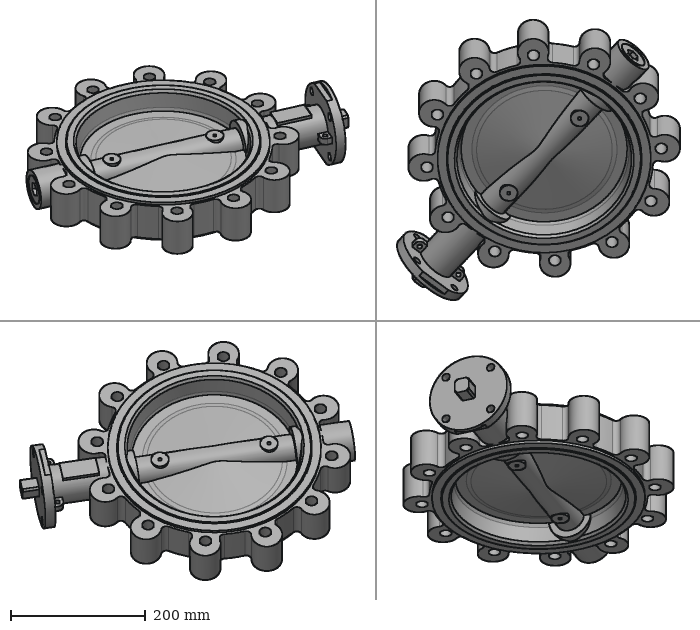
import cadquery as cq
import math


BODY_RADIUS = 162.5
BODY_HALF_HEIGHT = 29.5
LUG_COUNT = 12
LUG_CIRCLE_RADIUS = 180
LUG_RADIUS = 23.0
LUG_FILLET = 7.5
BOLT_CIRCLE_RADIUS = 175
BOLT_HOLE_DIAMETER = 17.5
FACE_DIAMETER = 317.0
FACE_HALF_HEIGHT = 34.0

GROOVE_OUTER_DIAMETER = 290.0
LINER_DIAMETER = 287.0
LINER_HALF_HEIGHT = 35.5
LIP_RADIUS = 133.5
WALL_TOP_RADIUS = 130
WALL_TOP_HEIGHT = 31.0
WALL_END_RADIUS = 126.0
WALL_END_HEIGHT = 8.0
SEAT_RADIUS = 123.5
SHAFT_PAD_DISTANCE = 119.5

DISC_HALF_RIM = 2.5
DOME_RIM_RADIUS = 101.0
DOME_OUTER_RADIUS = 108.0
DOME_RIM_HEIGHT = 4.0
DOME_HEIGHT = 20
HUB_DIAMETER = 46.0
SHAFT_PAD_RADIUS = 34.0
PIN_OFFSET = 82.5
PIN_DIAMETER = 26.5
PIN_HALF_HEIGHT = 23.5
PIN_HOLE_DIAMETER = 5
PIN_HOLE_DEPTH = 2.5

NECK_DIAMETER = 60
NECK_INNER_END = 140
BOTTOM_END = 207.5
FLANGE_DIAMETER = 125
FLANGE_BOTTOM = 251.5
FLANGE_TOP = 267.0
FLANGE_HOLE_DIAMETER = 12.0
FLANGE_BOLT_CIRCLE_DIAMETER = 102.0
FLANGE_FLAT_DISTANCE = 57.5
FLANGE_FLAT_LENGTH = 9.0
STEM_TOP = 292.0
STEM_SQUARE = 23.0
STEM_CORNER_DIAMETER = 28.5
STEM_CHAMFER = 1.0

PLATE_WIDTH = 30
PLATE_BOTTOM = 177.0
PLATE_TOP = 232.0
PLATE_HEIGHT = 31.0

EAR_OFFSET = 37.5
EAR_CENTRE = 244.5
EAR_RADIUS = 8.5
EAR_THICKNESS = 11.0
EAR_HOLE_DIAMETER = 7.0

PLUG_DIAMETER = 44.0
PLUG_RECESS = 1.0
HEX_DIAMETER = 21.5
HEX_DEPTH = 10
HEX_CONE_DEPTH = 5


def polar(radius, angle):
    return (radius * math.cos(angle), radius * math.sin(angle))


def toward(start, end, distance):
    """Point at the given distance from start in the direction of end."""
    ratio = distance / math.dist(start, end)
    return (start[0] + (end[0] - start[0]) * ratio, start[1] + (end[1] - start[1]) * ratio)


def along_y(diameter, start, end):
    """Cylinder on the stem axis between two Y positions."""
    plane = cq.Workplane("XZ", origin=(0, start, 0))
    return plane.circle(diameter / 2).extrude(start - end)


def box_between(x_range, y_range, z_range):
    size = [high - low for low, high in (x_range, y_range, z_range)]
    low_corner = (x_range[0], y_range[0], z_range[0])
    return cq.Workplane("XY").box(*size, centered=False).translate(low_corner)


def lug_body():
    """Round body with lugs, blended by concave fillets into one outline."""
    fillet_centre_radius = BODY_RADIUS + LUG_FILLET
    centre_distance = LUG_RADIUS + LUG_FILLET
    pitch = 2 * math.pi / LUG_COUNT
    fillet_offset = math.acos(
        (fillet_centre_radius**2 + LUG_CIRCLE_RADIUS**2 - centre_distance**2)
        / (2 * fillet_centre_radius * LUG_CIRCLE_RADIUS)
    )
    outline = cq.Workplane("XY").moveTo(*polar(BODY_RADIUS, fillet_offset - pitch / 2))
    for i in range(LUG_COUNT):
        angle = (i + 0.5) * pitch
        lug_centre = polar(LUG_CIRCLE_RADIUS, angle)
        fillets = []
        for side in (-1, 1):
            body_point = polar(BODY_RADIUS, angle + side * fillet_offset)
            centre = polar(fillet_centre_radius, angle + side * fillet_offset)
            lug_point = toward(lug_centre, centre, LUG_RADIUS)
            chord_middle = ((body_point[0] + lug_point[0]) / 2, (body_point[1] + lug_point[1]) / 2)
            fillets.append((body_point, toward(centre, chord_middle, LUG_FILLET), lug_point))
        body_in, middle_in, lug_in = fillets[0]
        body_out, middle_out, lug_out = fillets[1]
        outline = (
            outline.threePointArc(polar(BODY_RADIUS, angle - pitch / 2), body_in)
            .threePointArc(middle_in, lug_in)
            .threePointArc(polar(LUG_CIRCLE_RADIUS + LUG_RADIUS, angle), lug_out)
            .threePointArc(middle_out, body_out)
        )
    return outline.close().extrude(BODY_HALF_HEIGHT, both=True)


def raised_faces():
    """Sealing faces and the liner, standing above the body on both sides."""
    face = cq.Workplane("XY").circle(FACE_DIAMETER / 2).extrude(FACE_HALF_HEIGHT, both=True)
    liner = cq.Workplane("XY").circle(LINER_DIAMETER / 2).extrude(LINER_HALF_HEIGHT, both=True)
    groove = (
        cq.Workplane("XY")
        .circle(GROOVE_OUTER_DIAMETER / 2)
        .extrude(LINER_HALF_HEIGHT, both=True)
        .cut(cq.Workplane("XY").circle(GROOVE_OUTER_DIAMETER / 2).extrude(BODY_HALF_HEIGHT, both=True))
    )
    return face.cut(groove).union(liner)


def bore():
    """Opening of the liner, narrowing from both faces to the seat."""
    upper_half = [
        (SEAT_RADIUS, DISC_HALF_RIM),
        (WALL_END_RADIUS, WALL_END_HEIGHT),
        (WALL_TOP_RADIUS, WALL_TOP_HEIGHT),
        (LIP_RADIUS, LINER_HALF_HEIGHT),
    ]
    lower_half = [(radius, -height) for radius, height in reversed(upper_half)]
    profile = [(0, -LINER_HALF_HEIGHT)] + lower_half + upper_half + [(0, LINER_HALF_HEIGHT)]
    return cq.Workplane("XZ").polyline(profile).close().revolve()


def shaft_pads():
    """Round flats inside the liner where the hub ends meet it."""
    pad_diameter = 2 * SHAFT_PAD_RADIUS
    upper = along_y(pad_diameter, SHAFT_PAD_DISTANCE, NECK_INNER_END)
    return upper.union(upper.mirror("XZ"))


def disc():
    """Domed disc with a round hub across it."""
    dome = (
        cq.Workplane("XZ")
        .moveTo(0, 0)
        .lineTo(SEAT_RADIUS, 0)
        .lineTo(SEAT_RADIUS, DISC_HALF_RIM)
        .lineTo(DOME_OUTER_RADIUS, DISC_HALF_RIM)
        .lineTo(DOME_RIM_RADIUS, DOME_RIM_HEIGHT)
        .lineTo(0, DOME_HEIGHT)
        .close()
        .revolve()
    )
    plate = dome.union(dome.mirror("XY"))
    hub = along_y(HUB_DIAMETER, -SHAFT_PAD_DISTANCE, SHAFT_PAD_DISTANCE)
    return plate.union(hub)


def pins():
    """Pin heads through the hub, with a small centre hole at each end."""
    heads = (
        cq.Workplane("XY")
        .pushPoints([(0, PIN_OFFSET), (0, -PIN_OFFSET)])
        .circle(PIN_DIAMETER / 2)
        .extrude(PIN_HALF_HEIGHT, both=True)
    )
    for side in (">Z", "<Z"):
        heads = (
            heads.faces(side)
            .workplane(origin=(0, 0, 0))
            .pushPoints([(0, PIN_OFFSET), (0, -PIN_OFFSET)])
            .hole(PIN_HOLE_DIAMETER, PIN_HOLE_DEPTH)
        )
    return heads


def actuator_flange():
    """Round flange with four bolt holes and a flat on its upper and lower side."""
    plate = along_y(FLANGE_DIAMETER, FLANGE_BOTTOM, FLANGE_TOP)
    hole_spacing = FLANGE_BOLT_CIRCLE_DIAMETER / math.sqrt(2)
    plate = (
        plate.faces(">Y")
        .workplane(origin=(0, FLANGE_TOP, 0))
        .rect(hole_spacing, hole_spacing, forConstruction=True)
        .vertices()
        .hole(FLANGE_HOLE_DIAMETER)
    )
    radius = FLANGE_DIAMETER / 2
    flat = box_between(
        (-radius, radius), (FLANGE_BOTTOM, FLANGE_BOTTOM + FLANGE_FLAT_LENGTH), (FLANGE_FLAT_DISTANCE, radius)
    )
    return plate.cut(flat).cut(flat.mirror("XY"))


def stem():
    """Square stem end with rounded corners."""
    length = STEM_TOP - FLANGE_BOTTOM
    square = cq.Workplane("XZ", origin=(0, FLANGE_BOTTOM, 0)).rect(STEM_SQUARE, STEM_SQUARE).extrude(-length)
    corners = along_y(STEM_CORNER_DIAMETER, FLANGE_BOTTOM, STEM_TOP).faces(">Y").chamfer(STEM_CHAMFER)
    return square.intersect(corners)


def ears():
    """Two drilled tabs hanging from the underside of the flange."""
    plane = cq.Workplane("XY").workplane(offset=-EAR_THICKNESS / 2)
    ear = (
        plane.moveTo(0, FLANGE_BOTTOM)
        .lineTo(EAR_OFFSET + EAR_RADIUS, FLANGE_BOTTOM)
        .lineTo(EAR_OFFSET + EAR_RADIUS, EAR_CENTRE)
        .radiusArc((EAR_OFFSET, EAR_CENTRE - EAR_RADIUS), EAR_RADIUS)
        .lineTo(0, EAR_CENTRE - EAR_RADIUS)
        .close()
        .extrude(EAR_THICKNESS)
    )
    hole = plane.center(EAR_OFFSET, EAR_CENTRE).circle(EAR_HOLE_DIAMETER / 2).extrude(EAR_THICKNESS)
    ear = ear.cut(hole)
    return ear.union(ear.mirror("YZ"))


def plug_cut():
    """Recess of the lower plug with its hexagon socket and cone bottom."""
    recess_floor = -BOTTOM_END + PLUG_RECESS
    socket_floor = recess_floor + HEX_DEPTH
    recess = along_y(PLUG_DIAMETER, -BOTTOM_END, recess_floor)
    socket = (
        cq.Workplane("XZ", origin=(0, recess_floor, 0))
        .transformed(rotate=(0, 0, 30))
        .polygon(6, HEX_DIAMETER)
        .extrude(-HEX_DEPTH)
    )
    flat_distance = HEX_DIAMETER * math.cos(math.pi / 6)
    cone = cq.Workplane("XY").add(
        cq.Solid.makeCone(
            flat_distance / 2, 0, HEX_CONE_DEPTH, pnt=cq.Vector(0, socket_floor, 0), dir=cq.Vector(0, 1, 0)
        )
    )
    return recess.union(socket).union(cone)


result = lug_body()
result = result.union(along_y(NECK_DIAMETER, NECK_INNER_END, FLANGE_BOTTOM))
result = result.union(along_y(NECK_DIAMETER, -BOTTOM_END, -NECK_INNER_END))
result = result.union(raised_faces()).cut(bore())
result = result.union(shaft_pads()).union(disc()).union(pins())
result = result.union(actuator_flange()).union(stem()).union(ears())

plate = box_between((-PLATE_WIDTH / 2, PLATE_WIDTH / 2), (PLATE_BOTTOM, PLATE_TOP), (0, PLATE_HEIGHT))
result = result.union(plate).cut(plug_cut())

bolt_holes = (
    cq.Workplane("XY")
    .polarArray(BOLT_CIRCLE_RADIUS, 180 / LUG_COUNT, 360, LUG_COUNT)
    .circle(BOLT_HOLE_DIAMETER / 2)
    .extrude(BODY_HALF_HEIGHT, both=True)
)
result = result.cut(bolt_holes)